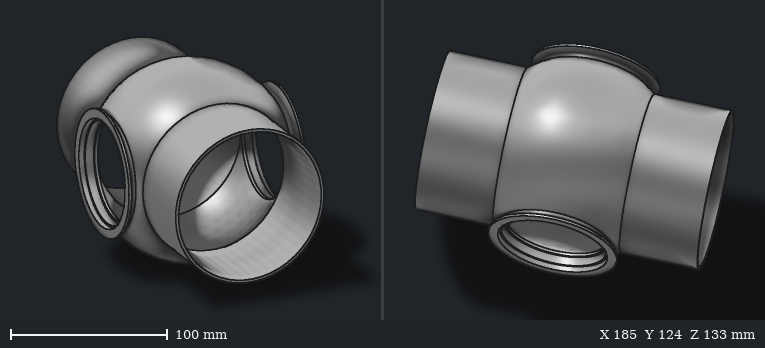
import cadquery as cq
import math

pipe_length = 185.0
pipe_outer_radius = 52.0
pipe_inner_radius = 50.0

ball_diameter = 133.0
ball_outer_radius = ball_diameter / 2
ball_inner_radius = 60.0

flange_radius = 42.2
neck_radius = 37.4
seat_mouth_radius = 35.9
seat_floor_radius = 35.5
bore_radius = 34.2
lip_radius = 32.7

port_span = 124.0
flange_thickness = 1.8
flange_back_depth = 4.3
seat_depth = 3.7
lip_depth = 9.6
throat_fillet = 0.7

face_y = port_span / 2
neck_base_y = math.sqrt(ball_inner_radius**2 - lip_radius**2)


def pipe_with_ball(pipe_radius, ball_radius):
    """Solid of revolution about X: a round bar with a ball bulging at its middle."""
    joint_x = math.sqrt(ball_radius**2 - pipe_radius**2)
    return (
        cq.Workplane("XZ")
        .moveTo(-pipe_length / 2, 0)
        .lineTo(-pipe_length / 2, pipe_radius)
        .lineTo(-joint_x, pipe_radius)
        .threePointArc((0, ball_radius), (joint_x, pipe_radius))
        .lineTo(pipe_length / 2, pipe_radius)
        .lineTo(pipe_length / 2, 0)
        .close()
        .revolve(360, (0, 0), (1, 0))
    )


def revolve_about_y(outline, side):
    """Revolve (radius, y) points about Y; side is +1 for the +Y port, -1 for the -Y port."""
    points = [(radius, side * y) for radius, y in outline]
    return cq.Workplane("XY").polyline(points).close().revolve(360, (0, 0), (0, 1))


def port_outside(side):
    """Neck and tapered flange with a rounded throat between them."""
    throat_y = face_y - flange_back_depth
    port = revolve_about_y(
        [
            (0, neck_base_y),
            (neck_radius, neck_base_y),
            (neck_radius, throat_y),
            (flange_radius, face_y - flange_thickness),
            (flange_radius, face_y),
            (0, face_y),
        ],
        side,
    )
    throat_edge = cq.selectors.NearestToPointSelector((0, side * throat_y, 0))
    return port.edges("%CIRCLE").edges(throat_edge).fillet(throat_fillet)


def port_passage(side):
    """Stepped bore: tapered seat at the face, then the bore, then the lip opening into the ball."""
    return revolve_about_y(
        [
            (0, 0),
            (lip_radius, 0),
            (lip_radius, face_y - lip_depth),
            (bore_radius, face_y - lip_depth),
            (bore_radius, face_y - seat_depth),
            (seat_floor_radius, face_y - seat_depth),
            (seat_mouth_radius, face_y),
            (seat_mouth_radius, ball_outer_radius),
            (0, ball_outer_radius),
        ],
        side,
    )


result = pipe_with_ball(pipe_outer_radius, ball_outer_radius)
for side in (1, -1):
    result = result.union(port_outside(side))

result = result.cut(pipe_with_ball(pipe_inner_radius, ball_inner_radius))
for side in (1, -1):
    result = result.cut(port_passage(side))